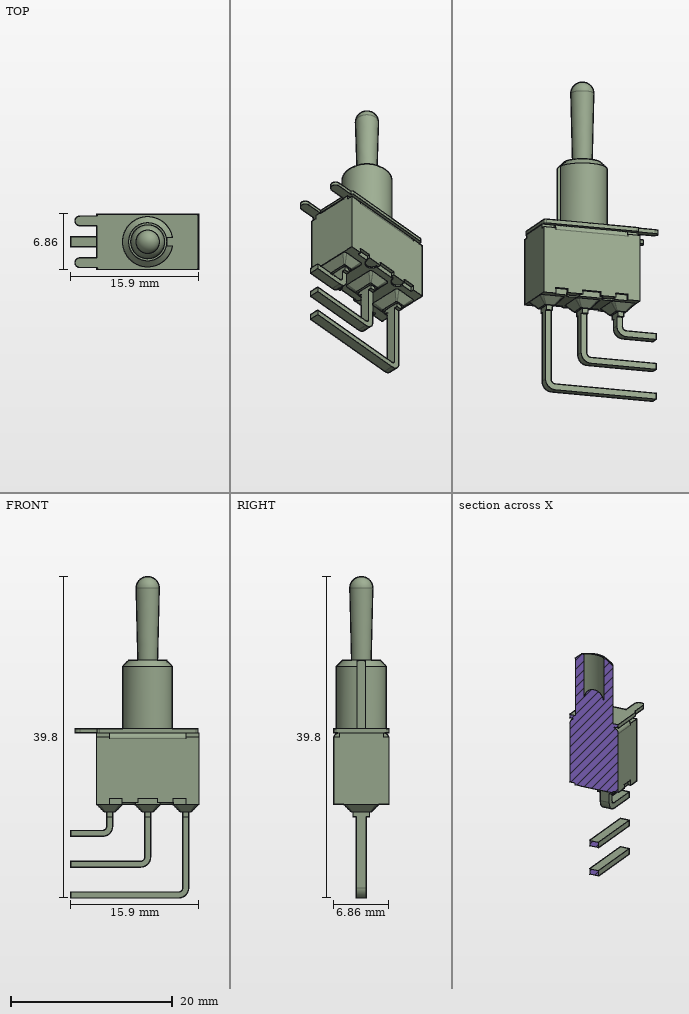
import cadquery as cq
import math


OVERALL_LENGTH = 15.88
OVERALL_HEIGHT = 39.76

CASE_LENGTH = 12.7
CASE_WIDTH = 6.86
CASE_HEIGHT = 8.86
CROWN_HALF_LENGTH = 4.75
CROWN_RADIUS = 0.72
CORNER_NOTCH_HEIGHT = 0.5

WALL_THICKNESS = 0.4
LOW_RELIEF_HEIGHT = 0.22
HIGH_RELIEF_HEIGHT = 0.72
CENTRE_RELIEF_LENGTH = 2.4
OUTER_RELIEF_LENGTH = 1.6
FLUTE_DIAMETER = 1.65

PLATE_LENGTH = 12.5
PLATE_THICKNESS = 0.5
PLATE_CORNER_RADIUS = 0.28
TAB_TIP_X = -9.0
TAB_WIDTH = 1.22
TAB_Y = 2.58

BUSHING_DIAMETER = 6.22
BUSHING_TOP_Z = 17.83
BUSHING_FACE_DIAMETER = 4.72
BORE_DIAMETER = 4.2
BALL_CENTRE_Z = 12.0
KEYWAY_WIDTH = 1.08
KEYWAY_FLOOR_DISTANCE = 2.4
LEVER_TOP_Z = 28.18
LEVER_TIP_RADIUS = 1.45
LEVER_ROOT_RADIUS = 1.14

TERMINAL_PITCH = 4.7
TERMINAL_THICKNESS = 0.76
TERMINAL_WIDTH = 1.27
TERMINAL_TIP_X = CASE_LENGTH / 2 - OVERALL_LENGTH
BEND_INNER_RADIUS = 0.5
LOWEST_TERMINAL_Z = LEVER_TOP_Z - OVERALL_HEIGHT + TERMINAL_THICKNESS / 2
TERMINAL_ROW_SPACING = 3.81
SHOULDER_WIDTH = 2.08
SHOULDER_BOTTOM_Z = -1.54

SEAL_HEIGHT = 0.95
SEAL_TOP_LENGTH = 3.2
SEAL_TOP_WIDTH = 4.36
SEAL_TOP_CORNER = 0.35
SEAL_BOTTOM_CORNER = 0.1

PLATE_TOP_Z = CASE_HEIGHT + PLATE_THICKNESS
TERMINAL_XS = [TERMINAL_PITCH, 0, -TERMINAL_PITCH]


def box(x_min, x_max, y_min, y_max, z_min, z_max):
    """Axis-aligned block between the given limits."""
    size = (x_max - x_min, y_max - y_min, z_max - z_min)
    return cq.Workplane().box(*size, centered=False).translate((x_min, y_min, z_min))


def make_case():
    """Block with rounded long top edges in the middle and notched corners at both ends."""
    half_length = CASE_LENGTH / 2
    half_width = CASE_WIDTH / 2
    shoulder = half_width - CROWN_RADIUS
    notch_floor = CASE_HEIGHT - CORNER_NOTCH_HEIGHT
    middle = box(-CROWN_HALF_LENGTH, CROWN_HALF_LENGTH, -half_width, half_width, 0, CASE_HEIGHT)
    middle = middle.edges("|X and >Z").fillet(CROWN_RADIUS)
    case = box(-half_length, half_length, -shoulder, shoulder, 0, CASE_HEIGHT).union(middle)

    for side in (-1, 1):
        end_limits = sorted((side * CROWN_HALF_LENGTH, side * half_length))
        case = case.union(box(*end_limits, -half_width, half_width, 0, notch_floor))
    for side in (-1, 1):
        case = case.cut(make_wall_relief(side))
    return case


def make_wall_relief(side):
    """Material removed below one long wall, with the flutes between the terminals."""
    inner_y = side * (CASE_WIDTH / 2 - WALL_THICKNESS)
    outer_y = side * CASE_WIDTH / 2
    y_limits = sorted((inner_y, outer_y))
    end = CROWN_HALF_LENGTH
    half_centre = CENTRE_RELIEF_LENGTH / 2

    relief = box(-end, end, *y_limits, 0, LOW_RELIEF_HEIGHT)
    high_stretches = [
        (-end, OUTER_RELIEF_LENGTH - end),
        (-half_centre, half_centre),
        (end - OUTER_RELIEF_LENGTH, end),
    ]
    for x_limits in high_stretches:
        relief = relief.union(box(*x_limits, *y_limits, 0, HIGH_RELIEF_HEIGHT))

    flutes = (
        cq.Workplane()
        .pushPoints([(-TERMINAL_PITCH / 2, inner_y), (TERMINAL_PITCH / 2, inner_y)])
        .circle(FLUTE_DIAMETER / 2)
        .extrude(LOW_RELIEF_HEIGHT)
    )
    return relief.union(flutes)


def make_plate():
    """Plate on top of the case with two round-ended tabs toward -X."""
    plate = (
        cq.Workplane()
        .box(PLATE_LENGTH, CASE_WIDTH, PLATE_THICKNESS, centered=(True, True, False))
        .edges("|Z")
        .fillet(PLATE_CORNER_RADIUS)
    )
    tip_centre_x = TAB_TIP_X + TAB_WIDTH / 2
    for side in (-1, 1):
        tab_y = side * TAB_Y
        tab = box(tip_centre_x, 0, tab_y - TAB_WIDTH / 2, tab_y + TAB_WIDTH / 2, 0, PLATE_THICKNESS)
        tip = cq.Workplane().center(tip_centre_x, tab_y).circle(TAB_WIDTH / 2).extrude(PLATE_THICKNESS)
        plate = plate.union(tab).union(tip)
    return plate.translate((0, 0, CASE_HEIGHT))


def make_bushing_and_lever():
    """Chamfered bushing whose bore holds a ball carrying the tapered lever."""
    outer_radius = BUSHING_DIAMETER / 2
    face_radius = BUSHING_FACE_DIAMETER / 2
    ball_radius = BORE_DIAMETER / 2
    chamfer = outer_radius - face_radius
    root_z = BALL_CENTRE_Z + math.sqrt(ball_radius**2 - LEVER_ROOT_RADIUS**2)
    ball_mid = ball_radius * math.sqrt(0.5)
    dome_mid = LEVER_TIP_RADIUS * math.sqrt(0.5)
    dome_z = LEVER_TOP_Z - LEVER_TIP_RADIUS

    body = (
        cq.Workplane("XZ")
        .moveTo(0, CASE_HEIGHT)
        .lineTo(outer_radius, CASE_HEIGHT)
        .lineTo(outer_radius, BUSHING_TOP_Z - chamfer)
        .lineTo(face_radius, BUSHING_TOP_Z)
        .lineTo(ball_radius, BUSHING_TOP_Z)
        .lineTo(ball_radius, BALL_CENTRE_Z)
        .threePointArc((ball_mid, BALL_CENTRE_Z + ball_mid), (LEVER_ROOT_RADIUS, root_z))
        .lineTo(LEVER_TIP_RADIUS, dome_z)
        .threePointArc((dome_mid, dome_z + dome_mid), (0, LEVER_TOP_Z))
        .close()
        .revolve(360, (0, 0, 0), (0, 1, 0))
    )
    half_keyway = KEYWAY_WIDTH / 2
    keyway = box(KEYWAY_FLOOR_DISTANCE, outer_radius, -half_keyway, half_keyway, PLATE_TOP_Z, BUSHING_TOP_Z)
    return body.cut(keyway)


def make_terminal(x, row_z):
    """Flat terminal going down at x, then bent toward -X at height row_z."""
    half = TERMINAL_THICKNESS / 2
    half_width = TERMINAL_WIDTH / 2
    outer_radius = BEND_INNER_RADIUS + TERMINAL_THICKNESS
    bent = (
        cq.Workplane("XZ")
        .moveTo(TERMINAL_TIP_X, row_z - half)
        .lineTo(x + half, row_z - half)
        .lineTo(x + half, 0)
        .lineTo(x - half, 0)
        .lineTo(x - half, row_z + half)
        .lineTo(TERMINAL_TIP_X, row_z + half)
        .close()
        .extrude(half_width, both=True)
    )
    outer_edge = cq.selectors.NearestToPointSelector((x + half, 0, row_z - half))
    inner_edge = cq.selectors.NearestToPointSelector((x - half, 0, row_z + half))
    bent = bent.edges("|Y").edges(outer_edge).fillet(outer_radius)
    bent = bent.edges("|Y").edges(inner_edge).fillet(BEND_INNER_RADIUS)
    half_shoulder = SHOULDER_WIDTH / 2
    return bent.union(box(x - half, x + half, -half_shoulder, half_shoulder, SHOULDER_BOTTOM_Z, 0))


def make_seal(x):
    """Sealing cone with 45 degree sides and rounded corners."""
    bottom_length = SEAL_TOP_LENGTH - 2 * SEAL_HEIGHT
    bottom_width = SEAL_TOP_WIDTH - 2 * SEAL_HEIGHT
    top = cq.Sketch().rect(SEAL_TOP_LENGTH, SEAL_TOP_WIDTH).vertices().fillet(SEAL_TOP_CORNER)
    bottom = cq.Sketch().rect(bottom_length, bottom_width).vertices().fillet(SEAL_BOTTOM_CORNER)
    bottom = bottom.moved(cq.Location(cq.Vector(0, 0, -SEAL_HEIGHT)))
    seal = cq.Workplane().placeSketch(top, bottom).loft()
    return seal.translate((x, 0, 0))


result = make_case().union(make_plate()).union(make_bushing_and_lever())
for row, terminal_x in enumerate(TERMINAL_XS):
    terminal_z = LOWEST_TERMINAL_Z + row * TERMINAL_ROW_SPACING
    result = result.union(make_seal(terminal_x)).union(make_terminal(terminal_x, terminal_z))